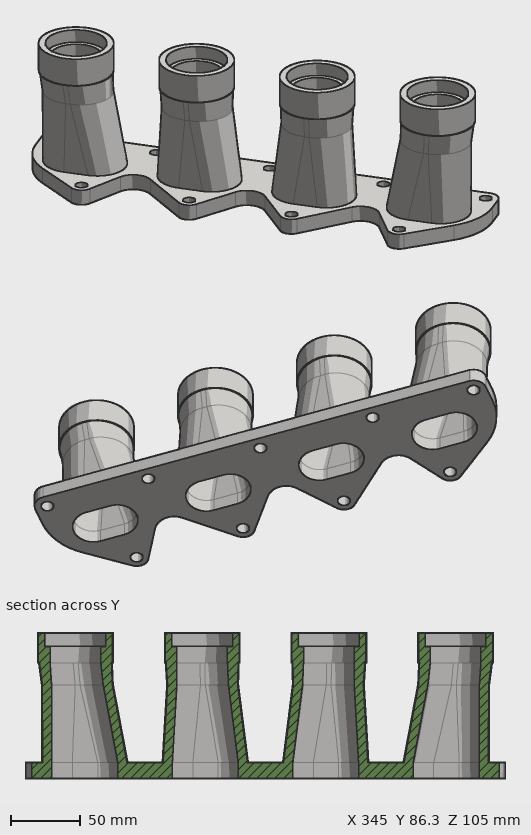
import cadquery as cq
import math

flange_length = 345.0
flange_thickness = 11.7
back_edge_y = 39.3
bolt_diameter = 9.0

corner_radius = 9.3
corner_x = flange_length / 2 - corner_radius
back_bolt_y = back_edge_y - corner_radius
back_bolt_x = 86.0

end_radius = 47.3
end_x = flange_length / 2 - end_radius
end_y = 16.0

lobe_radius = 8.5
lobe_y = -38.5
inner_lobe_x = 38.5
outer_lobe_x = 120.0

valley_radius = 13.8
valley_y = -10.0 - valley_radius

total_height = 105.0
waist_z = 67.5
collar_z = 83.5
collar_pitch = 91.0
port_pitch = 86.5
outer_waist_x = 135.2
inner_waist_x = 45.2

wall = 7.0
port_width = 61.7
port_depth = 43.5
waist_width = 51.5
waist_depth = 48.0
neck_diameter = 52.8
collar_diameter = 54.0
socket_diameter = 44.0
socket_depth = 9.5
bore_diameter = 37.0


def tangent_points(first, second):
    """Ends of the line touching two circles (x, y, signed radius) met in counter-clockwise order.

    A positive radius is a convex corner and a negative radius is a concave one.
    """
    x1, y1, r1 = first
    x2, y2, r2 = second
    dx = x2 - x1
    dy = y2 - y1
    normal_angle = math.atan2(dy, dx) - math.acos((r1 - r2) / math.hypot(dx, dy))
    nx = math.cos(normal_angle)
    ny = math.sin(normal_angle)
    return (x1 + r1 * nx, y1 + r1 * ny), (x2 + r2 * nx, y2 + r2 * ny)


def arc_middle(circle, start, end):
    """Middle of the shorter arc of a circle between two of its points."""
    x, y, radius = circle
    dx = (start[0] + end[0]) / 2 - x
    dy = (start[1] + end[1]) / 2 - y
    stretch = abs(radius) / math.hypot(dx, dy)
    return x + dx * stretch, y + dy * stretch


def make_flange():
    """Plate bounded by arcs joined with their common tangent lines, drilled for the bolts."""
    circles = [
        (-corner_x, back_bolt_y, corner_radius),
        (-end_x, end_y, end_radius),
        (-outer_lobe_x, lobe_y, lobe_radius),
        (-back_bolt_x, valley_y, -valley_radius),
        (-inner_lobe_x, lobe_y, lobe_radius),
        (0, valley_y, -valley_radius),
        (inner_lobe_x, lobe_y, lobe_radius),
        (back_bolt_x, valley_y, -valley_radius),
        (outer_lobe_x, lobe_y, lobe_radius),
        (end_x, end_y, end_radius),
        (corner_x, back_bolt_y, corner_radius),
    ]
    following = circles[1:] + circles[:1]
    lines = [tangent_points(first, second) for first, second in zip(circles, following)]

    outline = cq.Workplane("XY").moveTo(*lines[-1][1])
    arrival = lines[-1][1]
    for circle, (departure, next_arrival) in zip(circles, lines):
        outline = outline.threePointArc(arc_middle(circle, arrival, departure), departure)
        outline = outline.lineTo(*next_arrival)
        arrival = next_arrival

    back_bolts = [(x, back_bolt_y) for x in (-corner_x, -back_bolt_x, 0, back_bolt_x, corner_x)]
    lobe_bolts = [(x, lobe_y) for x in (-outer_lobe_x, -inner_lobe_x, inner_lobe_x, outer_lobe_x)]
    bolt_holes = (
        cq.Workplane("XY")
        .pushPoints(back_bolts + lobe_bolts)
        .circle(bolt_diameter / 2)
        .extrude(flange_thickness)
    )
    return outline.close().extrude(flange_thickness).cut(bolt_holes)


def slot_at(x, z, width, depth):
    return cq.Workplane("XY", origin=(x, 0, z)).slot2D(width, depth)


def cylinder(x, diameter, bottom, top):
    return cq.Workplane("XY", origin=(x, 0, bottom)).circle(diameter / 2).extrude(top - bottom)


def loft_between(lower, upper):
    return cq.Workplane(cq.Solid.makeLoft([lower.wires().val(), upper.wires().val()], True))


def make_duct(port_x, waist_x, collar_x, inset, top_diameter):
    """Slanting duct from the flange face to the collar, with both slots shrunk by the inset per side."""
    port = slot_at(port_x, flange_thickness, port_width - 2 * inset, port_depth - 2 * inset)
    waist = slot_at(waist_x, waist_z, waist_width - 2 * inset, waist_depth - 2 * inset)
    neck_top = cq.Workplane("XY", origin=(collar_x, 0, collar_z)).circle(top_diameter / 2)
    return loft_between(port, waist).union(loft_between(waist, neck_top))


def make_runner(port_x, waist_x, collar_x):
    """Outer body of one runner."""
    duct = make_duct(port_x, waist_x, collar_x, 0, neck_diameter)
    return duct.union(cylinder(collar_x, collar_diameter, collar_z, total_height))


def make_passage(port_x, waist_x, collar_x):
    """Open space through one runner and the flange under it."""
    port_slot = slot_at(port_x, 0, port_width - 2 * wall, port_depth - 2 * wall)
    socket_z = total_height - socket_depth
    passage = port_slot.extrude(flange_thickness)
    passage = passage.union(make_duct(port_x, waist_x, collar_x, wall, bore_diameter))
    passage = passage.union(cylinder(collar_x, bore_diameter, collar_z, socket_z))
    return passage.union(cylinder(collar_x, socket_diameter, socket_z, total_height))


inner_runner = (port_pitch / 2, inner_waist_x, collar_pitch / 2)
outer_runner = (1.5 * port_pitch, outer_waist_x, 1.5 * collar_pitch)

result = make_flange()
for stations in (inner_runner, outer_runner):
    for side in (-1, 1):
        placed = [side * x for x in stations]
        result = result.union(make_runner(*placed)).cut(make_passage(*placed))